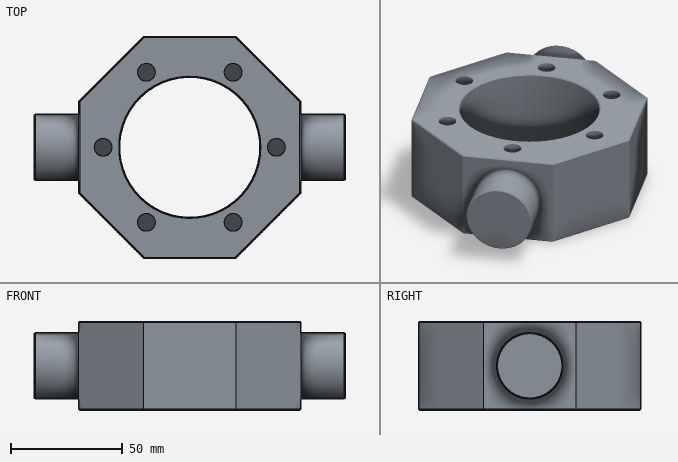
import cadquery as cq
import math

overall_length = 140.0
across_flats = 100.0
body_height = 40.0
trunnion_diameter = 30.0
bore_diameter = 63.0
hole_circle_diameter = 78.0
hole_diameter = 8.0
hole_depth = 20.0
hole_count = 6
edge_chamfer = 0.5

octagon_sides = 8
across_corners = across_flats / math.cos(math.pi / octagon_sides)


def make_body():
    """Octagonal block with flats facing X and Y, chamfered top and bottom."""
    block = (
        cq.Workplane("XY")
        .polygon(octagon_sides, across_corners)
        .extrude(body_height / 2, both=True)
        .rotate((0, 0, 0), (0, 0, 1), 180 / octagon_sides)
    )
    return block.faces("|Z").chamfer(edge_chamfer)


def make_trunnions():
    """One bar along X whose two ends stand out of the body as trunnions."""
    bar = cq.Workplane("YZ").circle(trunnion_diameter / 2).extrude(overall_length / 2, both=True)
    return bar.faces("|X").chamfer(edge_chamfer)


def cut_bore(solid):
    """Through bore along Z with chamfered rims."""
    bored = solid.cut(cq.Workplane("XY").circle(bore_diameter / 2).extrude(body_height, both=True))
    rim_radius = bore_diameter / 2 + edge_chamfer
    for direction in (1, -1):
        rim = (
            cq.Workplane("XY", origin=(0, 0, direction * body_height / 2))
            .circle(rim_radius)
            .workplane(offset=-direction * edge_chamfer)
            .circle(bore_diameter / 2)
            .loft()
        )
        bored = bored.cut(rim)
    return bored


def cut_bolt_holes(solid):
    """Ring of blind flat-bottomed holes in the top face."""
    holes = (
        cq.Workplane("XY", origin=(0, 0, body_height / 2))
        .polarArray(hole_circle_diameter / 2, 0, 360, hole_count)
        .circle(hole_diameter / 2)
        .extrude(-hole_depth)
    )
    return solid.cut(holes)


result = cut_bolt_holes(cut_bore(make_body().union(make_trunnions())))